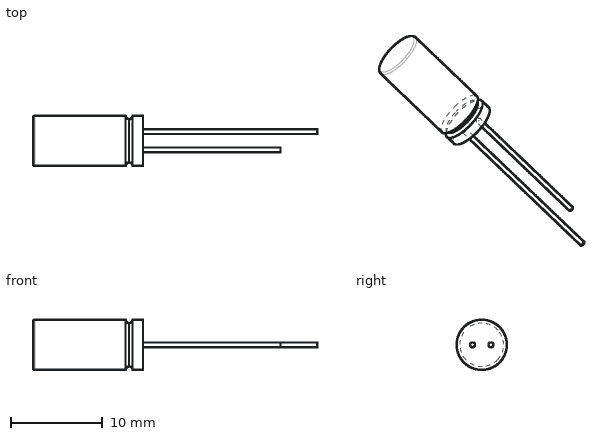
import cadquery as cq

body_length = 12.0
body_radius = 5.5 / 2
end_fillet = 0.2

groove_start_x = 10.1
groove_end_x = 10.85
groove_radius = (groove_end_x - groove_start_x) / 2
groove_center_x = groove_start_x + groove_radius
groove_floor_radius = body_radius - groove_radius

lead_diameter = 0.55
lead_pitch = 2.0
long_lead_end_x = 31.0
short_lead_end_x = 27.0


def revolve_about_x(profile):
    """Revolve a closed half profile, drawn in the XY plane, about the X axis."""
    return profile.revolve(360, (0, 0, 0), (1, 0, 0))


def make_can():
    """Front length of the can, from the closed end to the bottom of the groove."""
    profile = (
        cq.Workplane("XY")
        .lineTo(0, body_radius - end_fillet)
        .radiusArc((end_fillet, body_radius), end_fillet)
        .lineTo(groove_start_x, body_radius)
        .radiusArc((groove_center_x, groove_floor_radius), -groove_radius)
        .lineTo(groove_center_x, 0)
        .close()
    )
    return revolve_about_x(profile)


def make_base():
    """Base behind the can, from the bottom of the groove to the lead end."""
    profile = (
        cq.Workplane("XY")
        .moveTo(groove_center_x, 0)
        .lineTo(groove_center_x, groove_floor_radius)
        .radiusArc((groove_end_x, body_radius), -groove_radius)
        .lineTo(body_length, body_radius)
        .lineTo(body_length, 0)
        .close()
    )
    return revolve_about_x(profile)


def make_lead(y, end_x):
    """Straight round wire that starts on the base's end face."""
    return (
        cq.Workplane("YZ", origin=(body_length, y, 0))
        .circle(lead_diameter / 2)
        .extrude(end_x - body_length)
    )


can = make_can()
base = make_base()
leads = []
for y, end_x in [(lead_pitch / 2, long_lead_end_x), (-lead_pitch / 2, short_lead_end_x)]:
    leads.append(make_lead(y, end_x))

result = cq.Compound.makeCompound([can.val(), base.val(), *[lead.val() for lead in leads]])